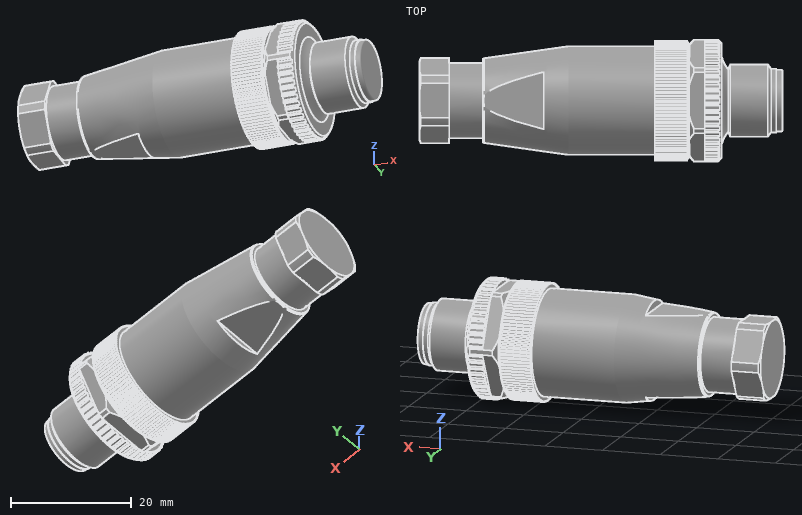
import cadquery as cq
import math

length = 60.1
gland_end = 4.9
sleeve_start = 10.5
sleeve_rim_end = 10.75
flat_end = 20.55
taper_end = 24.7
grip_start = 38.95
grip_end = 44.3
collar_end = 44.5
hex_start = 44.65
coupling_start = 47.2
coupling_end = 50.05
thread_start = 51.1
thread_end = 57.65
nose_end = 59.1

neck_radius = 12.5 / 2
sleeve_face_radius = 13.8 / 2
sleeve_rim_radius = 7.05
body_radius = 18.0 / 2
groove_radius = 7.2
coupling_face_radius = 9.45
hub_radius = 7.15
hub_waist_radius = 5.95
thread_start_radius = 5.2
thread_radius = 12.0 / 2
nose_radius = 10.6 / 2
tip_radius = 10.3 / 2

gland_across_flats = 13.0
gland_corner_radius = 7.1
gland_face_radius = 6.55
gland_chamfer = 0.25

flat_half_height = 7.0

grip_teeth = 104
collar_radius = 9.6
grip_root_radius = 9.75
grip_tip_radius = 9.9
coupling_teeth = 52
coupling_root_radius = 9.8
coupling_tip_radius = 10.1
coupling_tip_share = 0.15
coupling_root_share = 0.5
coupling_land_width = 0.9
nut_across_flats = 17.9
nut_face_radius = 9.3

thread_lead_in = 0.35
thread_run_out = 0.55
tip_fillet = 0.3


def turned(outline):
    """Solid turned about X from (x, radius) points; the axis closes the outline."""
    first_x = outline[0][0]
    last_x = outline[-1][0]
    points = [(first_x, 0)] + outline + [(last_x, 0)]
    return cq.Workplane("XY").polyline(points).close().revolve(360, (0, 0, 0), (1, 0, 0))


def hexagon(start, end, across_flats):
    """Hexagonal bar along X with two of its flats facing up and down."""
    corner_diameter = across_flats / math.cos(math.pi / 6)
    return cq.Workplane("YZ", origin=(start, 0, 0)).polygon(6, corner_diameter).extrude(end - start)


def knurl(start, end, teeth, tooth_profile):
    """Straight-knurled bar along X; the profile is (radius, fraction of the pitch) points."""
    pitch = 2 * math.pi / teeth
    points = []
    for tooth in range(teeth):
        for radius, fraction in tooth_profile:
            angle = (tooth + fraction) * pitch
            points.append((radius * math.cos(angle), radius * math.sin(angle)))
    return cq.Workplane("YZ", origin=(start, 0, 0)).polyline(points).close().extrude(end - start)


def cable_gland():
    bar = hexagon(0, gland_end, gland_across_flats)
    return bar.intersect(turned([
        (0, gland_face_radius),
        (gland_chamfer, gland_corner_radius),
        (gland_end, gland_corner_radius),
    ]))


def core():
    """Neck, tapered sleeve, body, hub and threaded plug, turned as one piece."""
    hub_waist = (coupling_end + thread_start) / 2
    outline = (
        cq.Workplane("XY")
        .moveTo(gland_end, 0)
        .lineTo(gland_end, neck_radius)
        .lineTo(sleeve_start, neck_radius)
        .lineTo(sleeve_start, sleeve_face_radius)
        .lineTo(sleeve_rim_end, sleeve_rim_radius)
        .lineTo(taper_end, body_radius)
        .lineTo(grip_end, body_radius)
        .lineTo(grip_end, collar_radius)
        .lineTo(collar_end, collar_radius)
        .lineTo(collar_end, groove_radius)
        .lineTo(coupling_end, groove_radius)
        .lineTo(coupling_end, hub_radius)
        .threePointArc((hub_waist, hub_waist_radius), (thread_start, thread_start_radius))
        .lineTo(thread_start + thread_lead_in, thread_radius)
        .lineTo(thread_end, thread_radius)
        .lineTo(thread_end + thread_run_out, nose_radius)
        .lineTo(nose_end, nose_radius)
        .lineTo(nose_end, tip_radius)
        .lineTo(length, tip_radius)
        .lineTo(length, 0)
        .close()
    )
    turning = outline.revolve(360, (0, 0, 0), (1, 0, 0))
    return turning.faces(">X").edges().fillet(tip_fillet)


def sleeve_flat(side):
    """Block removed above (side 1) or below (side -1) to leave a flat on the sleeve."""
    middle_x = (sleeve_start + flat_end) / 2
    block = cq.Workplane("XY").box(flat_end - sleeve_start, 2 * body_radius, body_radius)
    return block.translate((middle_x, 0, side * (flat_half_height + body_radius / 2)))


def grip():
    """Fine knurl of sharp V-shaped teeth."""
    tooth_profile = [(grip_tip_radius, 0), (grip_root_radius, 0.5)]
    return knurl(grip_start, grip_end, grip_teeth, tooth_profile)


def coupling_ring():
    """Coarse knurl of flat-topped teeth, with a smooth land across it on each Y side."""
    tooth_profile = [
        (coupling_root_radius, coupling_root_share / 2),
        (coupling_tip_radius, 0.5 - coupling_tip_share / 2),
        (coupling_tip_radius, 0.5 + coupling_tip_share / 2),
        (coupling_root_radius, 1 - coupling_root_share / 2),
    ]
    ring = knurl(coupling_start, coupling_end, coupling_teeth, tooth_profile)
    land = cq.Workplane("XY").box(
        coupling_end - coupling_start, 2 * coupling_tip_radius, coupling_land_width
    )
    return ring.union(land.translate(((coupling_start + coupling_end) / 2, 0, 0)))


def coupling_nut():
    """Hexagon and knurled ring in one piece, bevelled at both ends."""
    nut = hexagon(hex_start, coupling_start, nut_across_flats).union(coupling_ring())
    return nut.intersect(turned([
        (hex_start, nut_face_radius),
        (hex_start + coupling_tip_radius - nut_face_radius, coupling_tip_radius),
        (coupling_end - coupling_tip_radius + coupling_face_radius, coupling_tip_radius),
        (coupling_end, coupling_face_radius),
    ]))


shell = core().cut(sleeve_flat(1)).cut(sleeve_flat(-1))
result = cable_gland().union(shell).union(grip()).union(coupling_nut())